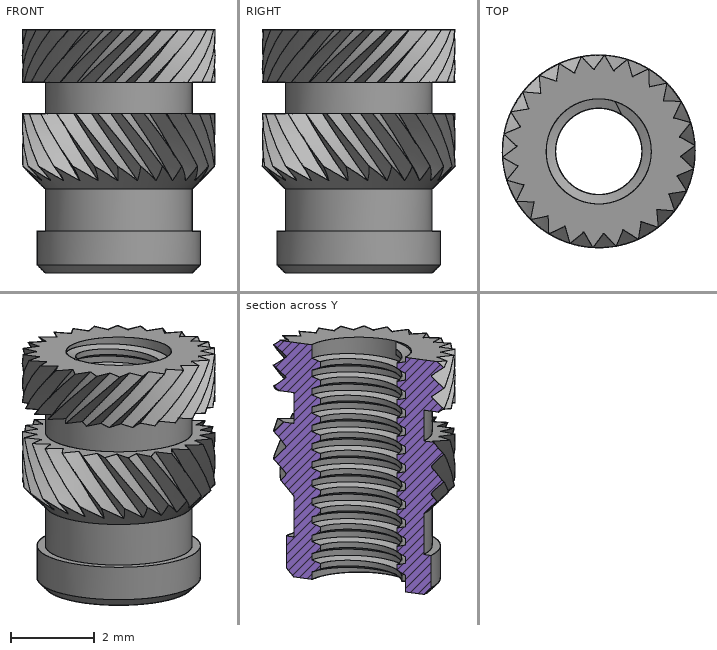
import cadquery as cq
import math

HEIGHT = 5.8
KNURL_DIAMETER = 4.6
KNURL_RADIUS = KNURL_DIAMETER / 2
NECK_RADIUS = 1.75
FLANGE_RADIUS = 1.95
FLANGE_TOP = 1.0
FLANGE_CHAMFER = 0.2
LOWER_KNURL_BOTTOM = 2.0
LOWER_KNURL_TOP = 3.8
UPPER_KNURL_BOTTOM = 4.55
LEAD_IN_ANGLE = 45.0

TOOTH_COUNT = 26
TOOTH_PITCH = 360.0 / TOOTH_COUNT
GROOVE_ROOT_RADIUS = 1.955
LOWER_TWIST = -36.6
UPPER_TWIST = 34.0
TIP_PHASE = TOOTH_PITCH / 4

BORE_RADIUS = 1.25
CREST_RADIUS = 1.025
THREAD_PITCH = 0.45
RIDGE_ROOT_WIDTH = 0.3
RIDGE_CREST_WIDTH = 0.14
RIDGE_END_GAP = 0.17
RIDGE_END_ANGLE = 72.0
RIDGE_SKEW = 45.0
RIDGE_EMBED = 0.06


def polar(radius, angle):
    return radius * math.cos(math.radians(angle)), radius * math.sin(math.radians(angle))


def make_core():
    """Neck with the chamfered flange at its foot."""
    neck = cq.Workplane("XY").circle(NECK_RADIUS).extrude(HEIGHT)
    flange = cq.Workplane("XY").circle(FLANGE_RADIUS).extrude(FLANGE_TOP)
    return neck.union(flange.faces("<Z").chamfer(FLANGE_CHAMFER))


def make_knurl(bottom, top, twist, bottom_phase):
    """Ring of sharp teeth twisted by the given angle from bottom to top."""
    points = []
    for tooth in range(TOOTH_COUNT):
        tip_angle = bottom_phase + tooth * TOOTH_PITCH
        points.append(polar(KNURL_RADIUS, tip_angle))
        points.append(polar(GROOVE_ROOT_RADIUS, tip_angle + TOOTH_PITCH / 2))
    outline = cq.Workplane("XY", origin=(0, 0, bottom)).polyline(points).close()
    return outline.twistExtrude(top - bottom, twist)


def make_lead_in_cone():
    """Cone widening upwards from the neck, which bounds the foot of the lower knurl."""
    foot = cq.Workplane("XY", origin=(0, 0, LOWER_KNURL_BOTTOM)).circle(NECK_RADIUS)
    return foot.extrude(LOWER_KNURL_TOP - LOWER_KNURL_BOTTOM, taper=-LEAD_IN_ANGLE)


def make_thread_ridge():
    """Trapezoidal ridge carried along a right-hand helix, with skewed flat ends."""
    length = HEIGHT - 2 * RIDGE_END_GAP
    skew = math.radians(RIDGE_SKEW)
    half_chord = BORE_RADIUS * math.cos(skew)
    axis_offset = BORE_RADIUS * math.sin(skew)
    depth = half_chord - math.sqrt(CREST_RADIUS**2 - axis_offset**2)
    profile_plane = cq.Plane(
        origin=(BORE_RADIUS, 0, 0),
        xDir=(-math.cos(skew), -math.sin(skew), 0),
        normal=(-math.sin(skew), math.cos(skew), 0),
    )
    crest = RIDGE_CREST_WIDTH / 2
    flank_slope = (RIDGE_ROOT_WIDTH / 2 - crest) / depth
    root = crest + flank_slope * (depth + RIDGE_EMBED)
    outline = [
        (-RIDGE_EMBED, -root),
        (depth, -crest),
        (depth, crest),
        (-RIDGE_EMBED, root),
    ]
    profile = cq.Workplane(profile_plane).polyline(outline).close()
    helix = cq.Workplane(cq.Wire.makeHelix(THREAD_PITCH, length, BORE_RADIUS))
    ridge = profile.sweep(helix, isFrenet=True)
    start_angle = RIDGE_END_ANGLE - 360.0 * length / THREAD_PITCH
    return ridge.rotate((0, 0, 0), (0, 0, 1), start_angle).translate((0, 0, RIDGE_END_GAP))


lower_knurl = make_knurl(LOWER_KNURL_BOTTOM, LOWER_KNURL_TOP, LOWER_TWIST, TIP_PHASE)
lower_knurl = lower_knurl.intersect(make_lead_in_cone())
upper_knurl = make_knurl(UPPER_KNURL_BOTTOM, HEIGHT, UPPER_TWIST, TIP_PHASE - UPPER_TWIST)
bore = cq.Workplane("XY").circle(BORE_RADIUS).extrude(HEIGHT)

result = make_core().union(lower_knurl).union(upper_knurl).cut(bore).union(make_thread_ridge())